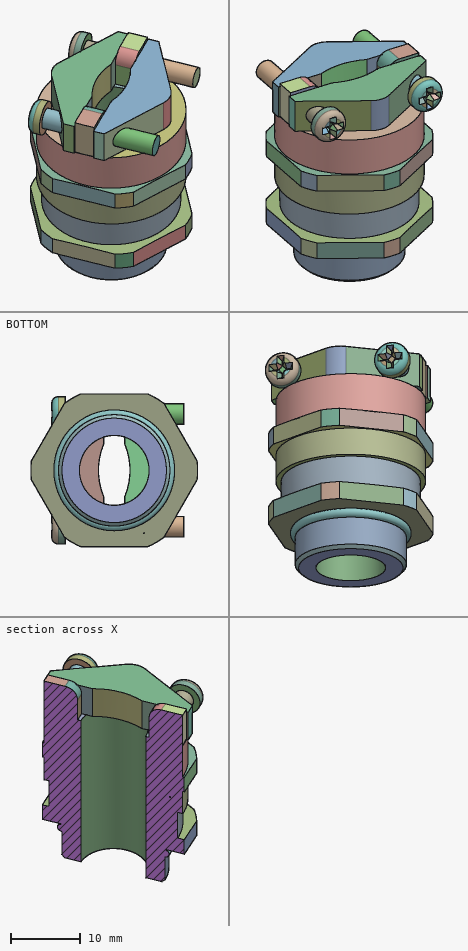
import cadquery as cq
import math

TOTAL_HEIGHT = 31.3
THREAD_TOP = 4.65
LOWER_HEX_BOTTOM = 6.0
COLLAR_BOTTOM = 13.3
UPPER_HEX_BOTTOM = 17.35
CLAMP_BOTTOM = 25.75
CLAMP_TOP = 30.8

BORE_RADIUS = 5.0
THREAD_RADIUS = 8.0
THREAD_CHAMFER = 0.5
BODY_RADIUS = 10.02
COLLAR_RADIUS = 10.77

FLAT_HALF = 22.0 / 2
CORNER_RADIUS = 24.0 / 2
HEX_RIM_HEIGHT = 2.63
HEX_TOP_SLOPE = 0.06

JAW_TIP_X = 9.0
JAW_TIP_RADIUS = 3.0
SLOT_HALF_WIDTH = 2.97 / 2
OPENING_HALF_WIDTH = 2.25
OPENING_HALF_LENGTH = 3.82
TAB_INNER_Y = 5.5
TAB_ROUND_RADIUS = 1.95

SCREW_Y = 8.1
SCREW_Z = 28.4
SHANK_RADIUS = 1.5
SHANK_END_X = 10.02
HEAD_RADIUS = 2.5
HEAD_THICKNESS = 2.0
HEAD_ROUND_RADIUS = 1.0

ARM_HALF_LENGTH = 1.78
ARM_HALF_WIDTH = 0.53
ARM_RIDGE_HALF_LENGTH = 1.25
ARM_RIDGE_HALF_WIDTH = 0.03
ARM_DEPTH = 1.0
CORE_HALF_WIDTH = 0.75
CORE_TOP_HALF_DIAGONAL = 1.22
CORE_FLOOR_HALF_DIAGONAL = 0.6
CORE_DEPTH = 1.13


def cylinder(radius, bottom, top):
    return cq.Workplane("XY").workplane(offset=bottom).circle(radius).extrude(top - bottom)


def hex_flange(bottom):
    """Hexagon with flats at +Y and -Y, cut to a turned blank that rounds its corners."""
    rim = bottom + HEX_RIM_HEIGHT
    apex = rim + HEX_TOP_SLOPE * CORNER_RADIUS
    corner_to_corner = 2 * FLAT_HALF / math.cos(math.pi / 6)
    blank = (
        cq.Workplane("XZ")
        .polyline([(0, bottom), (CORNER_RADIUS, bottom), (CORNER_RADIUS, rim), (0, apex)])
        .close()
        .revolve(360, (0, 0, 0), (0, 1, 0))
    )
    hexagon = cq.Workplane("XY").workplane(offset=bottom).polygon(6, corner_to_corner).extrude(apex - bottom)
    return blank.intersect(hexagon)


def o_ring():
    """Sealing ring squeezed between the thread and the lower flange."""
    section_radius = (LOWER_HEX_BOTTOM - THREAD_TOP) / 2
    middle = (LOWER_HEX_BOTTOM + THREAD_TOP) / 2
    return (
        cq.Workplane("XZ")
        .center(-THREAD_RADIUS, middle)
        .circle(section_radius)
        .revolve(360, (THREAD_RADIUS, 0, 0), (THREAD_RADIUS, 1, 0))
    )


def turned_body():
    thread = cylinder(THREAD_RADIUS, 0, LOWER_HEX_BOTTOM).faces("<Z").chamfer(THREAD_CHAMFER)
    return (
        thread.union(o_ring())
        .union(hex_flange(LOWER_HEX_BOTTOM))
        .union(cylinder(BODY_RADIUS, LOWER_HEX_BOTTOM, COLLAR_BOTTOM))
        .union(cylinder(COLLAR_RADIUS, COLLAR_BOTTOM, CLAMP_BOTTOM))
        .union(hex_flange(UPPER_HEX_BOTTOM))
        .cut(cylinder(BORE_RADIUS, 0, CLAMP_BOTTOM))
    )


def clamp_jaws():
    """Six-sided block with rounded tips, parted by a slot that widens into a cable opening."""
    height = CLAMP_TOP - CLAMP_BOTTOM
    sharp_tip_x = JAW_TIP_X + JAW_TIP_RADIUS * (1 / math.cos(math.pi / 6) - 1)
    end_x = sharp_tip_x - FLAT_HALF / math.tan(math.pi / 3)
    base = cq.Workplane("XY").workplane(offset=CLAMP_BOTTOM)
    block = (
        base.moveTo(sharp_tip_x, 0)
        .lineTo(end_x, FLAT_HALF)
        .lineTo(-end_x, FLAT_HALF)
        .lineTo(-sharp_tip_x, 0)
        .lineTo(-end_x, -FLAT_HALF)
        .lineTo(end_x, -FLAT_HALF)
        .close()
        .extrude(height)
        .edges("|Z and (<X or >X)")
        .fillet(JAW_TIP_RADIUS)
    )
    slot = base.rect(2 * SLOT_HALF_WIDTH, 2 * FLAT_HALF).extrude(height)
    opening = (
        base.moveTo(SLOT_HALF_WIDTH, -OPENING_HALF_LENGTH)
        .threePointArc((OPENING_HALF_WIDTH, 0), (SLOT_HALF_WIDTH, OPENING_HALF_LENGTH))
        .lineTo(-SLOT_HALF_WIDTH, OPENING_HALF_LENGTH)
        .threePointArc((-OPENING_HALF_WIDTH, 0), (-SLOT_HALF_WIDTH, -OPENING_HALF_LENGTH))
        .close()
        .extrude(height)
    )
    return block.cut(slot).cut(opening)


def clamp_tabs():
    """Tabs closing both ends of the slot, flat outside and rounded over at the inner top edge."""
    width = 2 * SLOT_HALF_WIDTH
    length = COLLAR_RADIUS - TAB_INNER_Y
    height = TOTAL_HEIGHT - CLAMP_BOTTOM
    tab = (
        cq.Workplane("XY")
        .box(width, length, height, centered=(True, False, False))
        .translate((0, TAB_INNER_Y, CLAMP_BOTTOM))
        .edges("|X and <Y and >Z")
        .fillet(TAB_ROUND_RADIUS)
    )
    return tab.union(tab.mirror("XZ"))


def cross_recess():
    """Cross recess sunk in +X from the plane X = 0: two V-shaped grooves and a tapered core."""
    face = cq.Workplane("YZ")
    groove = (
        face.rect(2 * ARM_HALF_LENGTH, 2 * ARM_HALF_WIDTH)
        .workplane(offset=ARM_DEPTH)
        .rect(2 * ARM_RIDGE_HALF_LENGTH, 2 * ARM_RIDGE_HALF_WIDTH)
        .loft(ruled=True)
    )
    core = (
        face.polygon(4, 2 * CORE_TOP_HALF_DIAGONAL)
        .workplane(offset=CORE_DEPTH)
        .polygon(4, 2 * CORE_FLOOR_HALF_DIAGONAL)
        .loft(ruled=True)
        .intersect(face.rect(2 * CORE_HALF_WIDTH, 2 * CORE_HALF_WIDTH).extrude(CORE_DEPTH))
    )
    return groove.union(groove.rotate((0, 0, 0), (1, 0, 0), 90)).union(core)


def screw():
    """Pan-head screw along X, its head flush with the tip of the -X jaw."""
    head = cq.Workplane("YZ").circle(HEAD_RADIUS).extrude(HEAD_THICKNESS)
    head = head.faces("<X").edges().fillet(HEAD_ROUND_RADIUS)
    shank_length = JAW_TIP_X + SHANK_END_X - HEAD_THICKNESS
    shank = cq.Workplane("YZ").workplane(offset=HEAD_THICKNESS).circle(SHANK_RADIUS).extrude(shank_length)
    return head.cut(cross_recess()).union(shank).translate((-JAW_TIP_X, 0, 0))


result = turned_body().union(clamp_jaws()).union(clamp_tabs())
for side in (-1, 1):
    result = result.union(screw().translate((0, side * SCREW_Y, SCREW_Z)))